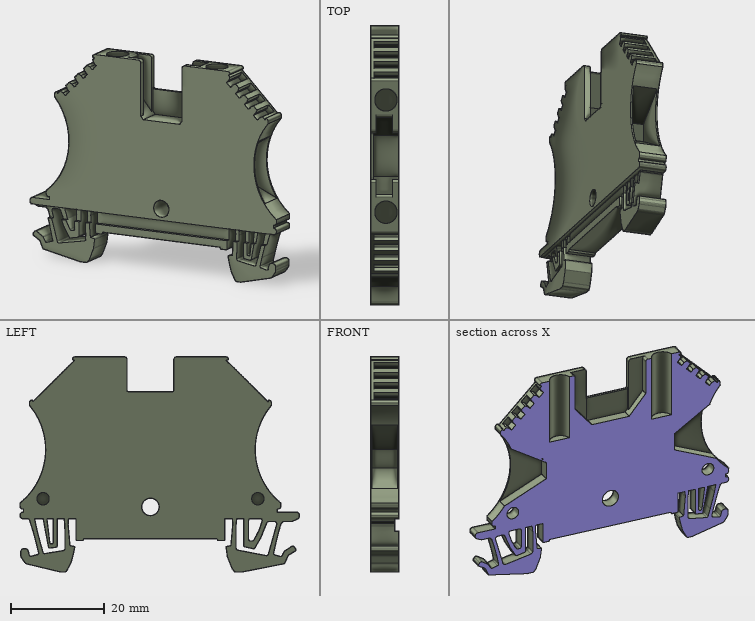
import cadquery as cq
import math


thickness = 6.1
top_z = 46.25
deck_z = 11.45

top_half_width = 16.75
top_lip_overhang = 0.45
top_lip_height = 0.8
shoulder_half_width = 26.0
shoulder_z = 36.6
shoulder_lip = 0.75
shoulder_lip_rise = 0.35
shoulder_edge_height = 0.8
base_half_width = 28.0
base_top_z = 14.84
base_groove_depth = 0.75
base_groove_low_z = 12.9
base_groove_high_z = 13.5
block_half_width = 16.0
block_bottom_z = 6.75
block_pad_width = 1.5
block_relief = 0.4
block_relief_run = 0.25
corner_radius = 0.3
lip_radius = 0.6
small_flat = 0.05
base_radius = 0.65

grip_radius = 14.7
grip_center_out = 37.2
grip_center_z = 26.3

trough_half_width = 5.0
trough_lip_z = 38.75
trough_lip_thickness = 0.6
trough_floor_half_width = 4.4
trough_floor_z = 33.2
trough_ramp_slope = 1.2
tower_radius = 0.65

slot_x = 1.15
slot_width = 3.6
slot_back_out = 8.3
slot_edge_radius = 0.5
screw_diameter = 4.8
screw_x = 3.3
screw_out = 12.05
screw_depth = 15.0

groove_count = 4
groove_width = 1.9
groove_pitch = 3.07
groove_depth = 1.5
groove_bevel_width = 0.28
groove_bevel_depth = 0.75
groove_start = 0.6
groove_overcut = 0.2
groove_wall = 0.75

funnel_wall = 0.35
funnel_mouth_low_z = 18.0
funnel_mouth_high_z = 31.6
funnel_end_low_z = 22.4
funnel_end_high_z = 26.3
funnel_end_out = 15.2

rail_hole_diameter = 3.7
rail_hole_z = 14.0
pin_hole_diameter = 2.65
pin_hole_out = 23.05
pin_hole_z = 15.75
pin_hole_depth = 3.0

guard_root_out = 24.0
guard_root_bevel = 0.6
guard_tip_out = 32.0
guard_tip_low_z = 11.55
guard_tip_top_radius = 0.7
guard_tip_low_radius = 0.9
guard_bevel_out = 30.4
guard_underside_z = 10.85

relief_depth = 0.9
relief_low_z = 8.8

finger_inner_out = 20.0
toe_out = 16.2
toe_z = 5.5
toe_bottom_out = 18.1
foot_bottom_z = 0.0
leg_bend_radius = 54.0
deck_overlap = 0.3


def corner_arc(before, corner, after, radius):
    """Start, middle and end of the arc that rounds one corner."""
    ux, uz = before[0] - corner[0], before[1] - corner[1]
    vx, vz = after[0] - corner[0], after[1] - corner[1]
    u_length = math.hypot(ux, uz)
    v_length = math.hypot(vx, vz)
    ux, uz, vx, vz = ux / u_length, uz / u_length, vx / v_length, vz / v_length
    half_angle = math.acos(ux * vx + uz * vz) / 2
    setback = radius / math.tan(half_angle)
    bisector = math.hypot(ux + vx, uz + vz)
    reach = (radius / math.sin(half_angle) - radius) / bisector
    start = (corner[0] + setback * ux, corner[1] + setback * uz)
    middle = (corner[0] + reach * (ux + vx), corner[1] + reach * (uz + vz))
    end = (corner[0] + setback * vx, corner[1] + setback * vz)
    return start, middle, end


def prism(points, side=1, x_start=0.0, x_end=thickness):
    """Extrude a corner-rounded (out, z) outline along X on the +Y (1) or -Y (-1) side."""
    corners = [(side * p[0], p[1], p[2] if len(p) > 2 else 0.0) for p in points]
    sketch = cq.Workplane("YZ", origin=(x_start, 0, 0))
    for i, (y, z, radius) in enumerate(corners):
        if radius > 0:
            after = corners[(i + 1) % len(corners)]
            start, middle, end = corner_arc(corners[i - 1], (y, z), after, radius)
            sketch = sketch.moveTo(*start) if i == 0 else sketch.lineTo(*start)
            sketch = sketch.threePointArc(middle, end)
        else:
            sketch = sketch.moveTo(y, z) if i == 0 else sketch.lineTo(y, z)
    return sketch.close().extrude(x_end - x_start)


def cylinder_x(diameter, y, z, length):
    return cq.Workplane("YZ").center(y, z).circle(diameter / 2).extrude(length)


slope_top = (top_half_width - top_lip_overhang, top_z - top_lip_height)
slope_foot = (shoulder_half_width - shoulder_lip, shoulder_z)


def housing_half(side):
    groove_out = base_half_width - base_groove_depth
    outline = [
        (0, top_z),
        (top_half_width, top_z, lip_radius),
        (top_half_width, top_z - lip_radius - small_flat),
        slope_top,
        slope_foot,
        (shoulder_half_width - lip_radius - small_flat, shoulder_z + shoulder_lip_rise),
        (shoulder_half_width, shoulder_z + shoulder_lip_rise, lip_radius),
        (shoulder_half_width, shoulder_z - shoulder_edge_height),
        (base_half_width, base_top_z),
        (base_half_width, base_groove_high_z, base_radius),
        (groove_out, base_groove_high_z),
        (groove_out, base_groove_low_z),
        (base_half_width, base_groove_low_z, base_radius),
        (base_half_width, deck_z, base_radius),
        (block_half_width, deck_z),
        (block_half_width, block_bottom_z, corner_radius),
        (block_half_width - block_pad_width, block_bottom_z),
        (block_half_width - block_pad_width - block_relief_run, block_bottom_z + block_relief),
        (0, block_bottom_z + block_relief),
    ]
    grip = cylinder_x(2 * grip_radius, side * grip_center_out, grip_center_z, thickness)
    return prism(outline, side).cut(grip)


def trough_ramp_z(out):
    """Height of the ramp that leaves the trough floor on both sides."""
    return trough_floor_z + trough_ramp_slope * (out - trough_floor_half_width)


def trough():
    """Opening between the towers: a low lip at X = 0 and a deeper sloped floor behind it."""
    lip_opening = (
        cq.Workplane("YZ")
        .rect(2 * trough_half_width, 2 * (top_z - trough_lip_z))
        .extrude(thickness)
        .edges("|X")
        .fillet(corner_radius)
        .translate((0, 0, top_z))
    )
    deep_outline = [
        (0, top_z),
        (trough_half_width, top_z),
        (trough_half_width, trough_ramp_z(trough_half_width)),
        (trough_floor_half_width, trough_floor_z),
        (0, trough_floor_z),
    ]
    deep_left = prism(deep_outline, 1, trough_lip_thickness)
    deep_right = prism(deep_outline, -1, trough_lip_thickness)
    return lip_opening.union(deep_left).union(deep_right)


def screwdriver_slot(side):
    x_end = slot_x + slot_width
    slot = prism(
        [
            (trough_floor_half_width, top_z),
            (slot_back_out, top_z),
            (slot_back_out, trough_ramp_z(slot_back_out)),
            (trough_floor_half_width, trough_floor_z),
        ],
        side,
        slot_x,
        x_end,
    )
    return slot.union(edge_rounding(side, slot_back_out, slot_edge_radius, slot_x, x_end))


def edge_rounding(side, out, radius, x_start=0.0, x_end=thickness):
    """Waste that rounds the top edge of a wall which faces the middle plane at "out"."""
    middle = radius * (1 - math.sqrt(0.5))
    return (
        cq.Workplane("YZ", origin=(x_start, 0, 0))
        .moveTo(side * out, top_z)
        .lineTo(side * (out + radius), top_z)
        .threePointArc((side * (out + middle), top_z - middle), (side * out, top_z - radius))
        .close()
        .extrude(x_end - x_start)
    )


def screw_hole(side):
    return (
        cq.Workplane("XY", origin=(screw_x, side * screw_out, top_z - screw_depth))
        .circle(screw_diameter / 2)
        .extrude(screw_depth)
    )


def marker_groove(side, index):
    """One bevelled groove cut at right angles into a sloped marker face, open at +X."""
    run = slope_foot[0] - slope_top[0]
    drop = slope_top[1] - slope_foot[1]
    length = math.hypot(run, drop)
    along = (run / length, -drop / length)
    outward = (drop / length, run / length)

    def place(distance, height):
        return (
            slope_top[0] + distance * along[0] + height * outward[0],
            slope_top[1] + distance * along[1] + height * outward[1],
        )

    start = groove_start + index * groove_pitch
    end = start + groove_width
    outline = [
        place(start, groove_overcut),
        place(end, groove_overcut),
        place(end, 0),
        place(end - groove_bevel_width, -groove_bevel_depth),
        place(end - groove_bevel_width, -groove_depth),
        place(start + groove_bevel_width, -groove_depth),
        place(start + groove_bevel_width, -groove_bevel_depth),
        place(start, 0),
    ]
    return prism(outline, side, groove_wall)


def grip_out(z):
    """Distance of the grip surface from the middle plane at a given height."""
    return grip_center_out - math.sqrt(grip_radius**2 - (z - grip_center_z) ** 2)


def wire_funnel(side):
    outline = [
        (funnel_end_out, funnel_end_low_z),
        (grip_out(funnel_mouth_low_z), funnel_mouth_low_z),
        (grip_out(funnel_mouth_high_z), funnel_mouth_high_z),
        (funnel_end_out, funnel_end_high_z),
    ]
    return prism(outline, side, funnel_wall, thickness - funnel_wall)


leg_root_z = deck_z + deck_overlap

inner_leg = [(17.55, leg_root_z), (17.65, 10.3), (17.25, toe_z + 0.2), (toe_out, toe_z, 0.2)]
inner_leg_back = [(18.55, deck_z), (18.4, 10.1)]


def hook_foot():
    """Foot at the +Y end, ending in an upturned hook."""
    foot = prism([
        *inner_leg,
        (16.5, 4.0),
        (17.0, 2.1),
        (toe_bottom_out, foot_bottom_z, 0.6),
        (19.3, foot_bottom_z, 0.6),
        (26.8, 1.8, 1.0),
        (27.85, 3.3, 1.0),
        (27.85, 5.05, 0.7),
        (26.35, 5.05, 0.7),
        (25.9, 3.35, 0.3),
        (23.95, 3.85, 0.3),
        (25.1, 8.6, leg_bend_radius),
        (26.0, 11.2),
        (26.5, leg_root_z),
    ])
    window = prism([
        *inner_leg_back,
        (18.35, 4.7, 0.5),
        (22.95, 3.95, 0.3),
        (24.1, 7.9, leg_bend_radius),
        (24.85, deck_z),
        (23.05, deck_z),
        (21.85, 5.1, 0.3),
        (finger_inner_out, 5.35, 0.4),
        (finger_inner_out, deck_z),
    ])
    finger_window = prism([
        (22.2, deck_z),
        (20.9, deck_z),
        (20.9, 6.1, 0.25),
        (21.55, 6.1, 0.25),
    ])
    return foot.cut(window).cut(finger_window)


def latch_foot():
    """Foot at the -Y end, ending in a release tongue."""
    foot = prism([
        *inner_leg,
        (16.5, 3.3),
        (17.5, 0.8),
        (toe_bottom_out, foot_bottom_z, 0.4),
        (19.7, foot_bottom_z, 0.6),
        (28.8, 1.8, 0.4),
        (29.6, 3.6, 0.4),
        (31.4, 4.7, 0.4),
        (30.65, 5.75, 0.45),
        (28.75, 4.5, 0.3),
        (28.1, 3.3, 0.3),
        (26.4, 3.8, 0.3),
        (27.3, 7.9, leg_bend_radius),
        (28.05, 10.4),
        (28.5, guard_underside_z),
        (28.5, leg_root_z),
    ], -1)
    window = prism([
        *inner_leg_back,
        (18.4, 4.8, 0.5),
        (25.2, 3.5, 0.4),
        (27.25, guard_underside_z, 0.5),
        (25.1, guard_underside_z, 0.5),
        (23.7, 7.35),
        (22.3, 4.95, 0.3),
        (finger_inner_out, 5.45, 0.4),
        (finger_inner_out, deck_z),
    ], -1)
    finger_window = prism([
        (21.1, deck_z, 0.35),
        (24.1, deck_z, 0.4),
        (23.3, 8.95),
        (22.1, 6.7, 0.4),
        (21.1, 6.7, 0.4),
    ], -1)
    return foot.cut(window).cut(finger_window)


def finger_guard():
    """Flat tab sticking out above the latch foot."""
    return prism([
        (guard_root_out, base_groove_low_z),
        (guard_tip_out, base_groove_low_z, guard_tip_top_radius),
        (guard_tip_out, guard_tip_low_z, guard_tip_low_radius),
        (guard_bevel_out, guard_underside_z),
        (guard_root_out + guard_root_bevel, guard_underside_z),
        (guard_root_out, deck_z),
    ], -1)


def side_relief():
    return (
        cq.Workplane("XY", origin=(thickness, 0, relief_low_z))
        .rect(2 * relief_depth, 2 * guard_tip_out)
        .extrude(deck_z - relief_low_z)
    )


body = housing_half(1).union(housing_half(-1))
body = body.union(hook_foot()).union(finger_guard()).union(latch_foot())
body = body.cut(trough()).cut(cylinder_x(rail_hole_diameter, 0, rail_hole_z, thickness))
for side in (1, -1):
    body = body.cut(screwdriver_slot(side)).cut(screw_hole(side))
    body = body.cut(edge_rounding(side, trough_half_width, tower_radius))
    body = body.cut(wire_funnel(side))
    body = body.cut(cylinder_x(pin_hole_diameter, side * pin_hole_out, pin_hole_z, pin_hole_depth))
    for index in range(groove_count):
        body = body.cut(marker_groove(side, index))

result = body.cut(side_relief())